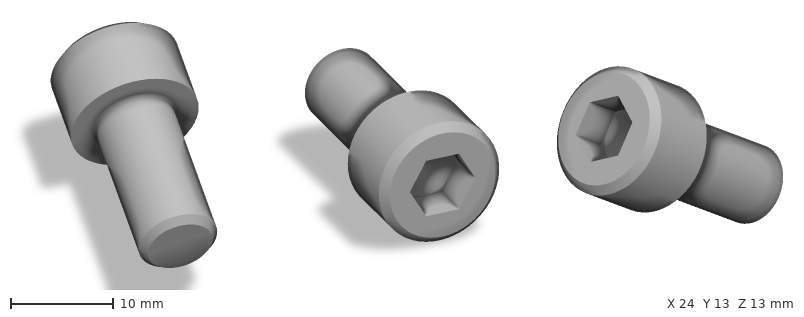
import cadquery as cq
import math

total_length = 24
head_diameter = 13.0
head_length = total_length / 3
head_chamfer = 0.82

shank_diameter = 8.0
tip_chamfer = 0.72
neck_fillet_length = 0.4
neck_fillet_height = 0.3

socket_width = 6.12
socket_depth = 4.0
drill_point_angle = 120

head_radius = head_diameter / 2
shank_radius = shank_diameter / 2


def make_body():
    """Revolve the half outline of head, neck fillet and shank about X."""
    arc_radius = (neck_fillet_length**2 + neck_fillet_height**2) / (2 * neck_fillet_height)
    neck_end = (head_length + neck_fillet_length, shank_radius)
    half_run = neck_fillet_length / 2
    half_rise = arc_radius - math.sqrt(arc_radius**2 - half_run**2)
    neck_middle = (neck_end[0] - half_run, shank_radius + half_rise)
    return (
        cq.Workplane("XY")
        .moveTo(0, 0)
        .lineTo(0, head_radius - head_chamfer)
        .lineTo(head_chamfer, head_radius)
        .lineTo(head_length, head_radius)
        .lineTo(head_length, shank_radius + neck_fillet_height)
        .threePointArc(neck_middle, neck_end)
        .lineTo(total_length - tip_chamfer, shank_radius)
        .lineTo(total_length, shank_radius - tip_chamfer)
        .lineTo(total_length, 0)
        .close()
        .revolve(360, (0, 0, 0), (1, 0, 0))
    )


def make_socket():
    """Hexagonal key socket with flats facing up and down and a conical bottom."""
    across_corners = socket_width / math.cos(math.radians(30))
    hexagon = cq.Workplane("YZ").polygon(6, across_corners).extrude(socket_depth)
    cone_radius = socket_width / 2
    cone_length = cone_radius / math.tan(math.radians(drill_point_angle / 2))
    cone = cq.Solid.makeCone(
        cone_radius, 0, cone_length, cq.Vector(socket_depth, 0, 0), cq.Vector(1, 0, 0)
    )
    return hexagon.union(cq.Workplane(cone))


result = make_body().cut(make_socket())